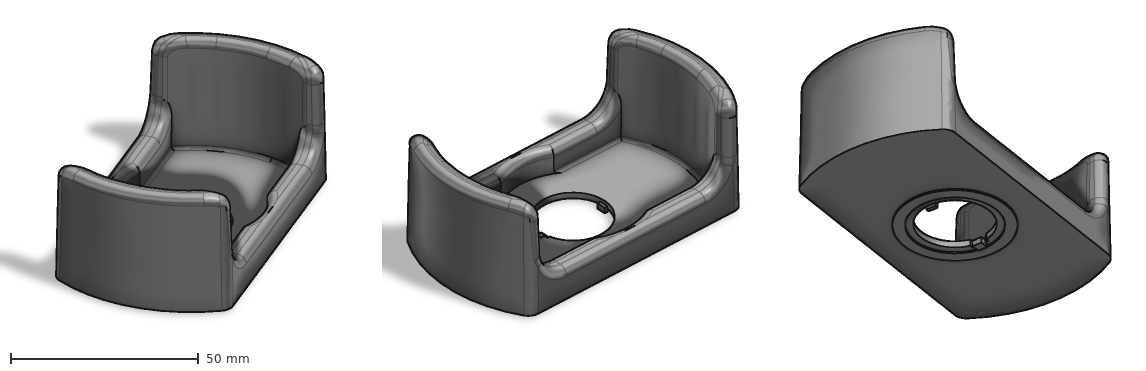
import cadquery as cq
import math

LENGTH = 89.9
WIDTH = 50.0
HEIGHT = 36.0
GASKET_THICKNESS = 0.495
LUG_DROP = 1.0
BODY_HEIGHT = HEIGHT - LUG_DROP
DRAFT = 1.0
SLOPE = math.tan(math.radians(DRAFT))
CORNER_RADIUS = 4.0

FLOOR = 2.0
RAIL_TOP = 10.0
CAVITY_WIDTH = 36.15
CAVITY_END_RADIUS = 38.1
FLOOR_FILLET = 1.0
RIM_FILLET = 2.5
WINDOW_HALF = 32.8
WINDOW_FOOT_RADIUS = 8.0
WINDOW_MOUTH_RADIUS = 4.9

RECESS_RADIUS = 20.4

HOLE_DIAMETER = 22.2
GASKET_OUTER = 33.4
GASKET_INNER = 26.6
NOTCH_WIDTH = 5.2
NOTCH_RADIUS = 11.9
LUG_WIDTH = 3.0
LUG_INNER = 10.1
LUG_TOP = 0.8
KEY_LUG_OUTER = 12.9
SMALL_LUG_OUTER = 11.15

MARGIN = 4.5
SELECT_GAP = 0.1


def block(x_range, y_range, z_range):
    """Axis-aligned box from three (low, high) pairs."""
    sizes = [high - low for low, high in (x_range, y_range, z_range)]
    corner = (x_range[0], y_range[0], z_range[0])
    return cq.Workplane("XY").box(*sizes, centered=False).translate(corner)


def cylinder(radius, low, high):
    return cq.Workplane("XY").workplane(offset=low).circle(radius).extrude(high - low)


def window(bottom):
    """Opening through both sides in X, with leaning walls and a rounded mouth at the rim."""
    lean = math.radians(DRAFT)
    half_bottom = WINDOW_HALF + (bottom - RAIL_TOP) * SLOPE
    half_top = WINDOW_HALF + (BODY_HEIGHT - RAIL_TOP) * SLOPE
    tangent = WINDOW_MOUTH_RADIUS * math.tan((math.pi / 2 - lean) / 2)
    mouth = half_top + tangent
    wall_y = half_top - tangent * math.sin(lean)
    wall_z = BODY_HEIGHT - tangent * math.cos(lean)
    middle_angle = (3 * math.pi / 2 - lean) / 2
    middle_y = mouth + WINDOW_MOUTH_RADIUS * math.cos(middle_angle)
    middle_z = BODY_HEIGHT - WINDOW_MOUTH_RADIUS + WINDOW_MOUTH_RADIUS * math.sin(middle_angle)
    return (
        cq.Workplane("YZ")
        .moveTo(-half_bottom, bottom)
        .lineTo(half_bottom, bottom)
        .lineTo(wall_y, wall_z)
        .threePointArc((middle_y, middle_z), (mouth, BODY_HEIGHT))
        .lineTo(mouth, BODY_HEIGHT + MARGIN)
        .lineTo(-mouth, BODY_HEIGHT + MARGIN)
        .lineTo(-mouth, BODY_HEIGHT)
        .threePointArc((-middle_y, middle_z), (-wall_y, wall_z))
        .close()
        .extrude(WIDTH, both=True)
    )


def side_window():
    """Window down to the rails, with rounded feet."""
    return window(RAIL_TOP).faces("<Z").edges("|X").fillet(WINDOW_FOOT_RADIUS)


def outer_body():
    """Drafted solid with the side window cut and the outer rim edges rounded."""
    half = WIDTH / 2
    end_radius = LENGTH / 2
    corner = math.sqrt(end_radius**2 - half**2)
    solid = (
        cq.Workplane("XY")
        .moveTo(half, -corner)
        .lineTo(half, corner)
        .threePointArc((0, end_radius), (-half, corner))
        .lineTo(-half, -corner)
        .threePointArc((0, -end_radius), (half, -corner))
        .close()
        .extrude(BODY_HEIGHT, taper=DRAFT)
    )
    upright = cq.selectors.BoxSelector(
        (-WIDTH, -LENGTH, MARGIN), (WIDTH, LENGTH, BODY_HEIGHT - MARGIN)
    )
    solid = solid.edges(upright).fillet(CORNER_RADIUS).cut(side_window())
    rim = [
        edge for edge in solid.edges("not |X").vals()
        if edge.BoundingBox().zmin > RAIL_TOP - SELECT_GAP
    ]
    return solid.newObject(rim).fillet(RIM_FILLET)


def end_cone():
    """Drafted round space whose wall forms both curved cavity ends."""
    depth = BODY_HEIGHT - FLOOR + MARGIN
    floor_plane = cq.Workplane("XY").workplane(offset=FLOOR)
    return floor_plane.circle(CAVITY_END_RADIUS).extrude(depth, taper=-DRAFT)


def side_wall():
    """+X wall with the window cut and its inner rim rounded."""
    wall = block((CAVITY_WIDTH / 2, WIDTH), (-LENGTH, LENGTH), (0, BODY_HEIGHT)).cut(side_window())
    rim = [
        edge for edge in wall.faces("<X").edges().vals()
        if edge.BoundingBox().zmin > RAIL_TOP - SELECT_GAP and abs(edge.Center().y) < LENGTH / 2
    ]
    return wall.newObject(rim).fillet(RIM_FILLET)


def end_wall():
    """+Y wall with a curved inner face and its inner rim rounded."""
    wall = block((-WIDTH, WIDTH), (0, LENGTH), (0, BODY_HEIGHT)).cut(window(FLOOR)).cut(end_cone())
    rim = [
        edge for edge in wall.edges("not %LINE").vals()
        if abs(edge.Center().x) < WIDTH / 2 and edge.Center().z > FLOOR + SELECT_GAP
    ]
    return wall.newObject(rim).fillet(RIM_FILLET)


def floor_plate():
    """Floor with a fillet running up to the cavity walls."""
    cavity = (
        block((-CAVITY_WIDTH / 2, CAVITY_WIDTH / 2), (-LENGTH, LENGTH), (FLOOR, BODY_HEIGHT))
        .intersect(end_cone())
        .faces("<Z").edges().fillet(FLOOR_FILLET)
    )
    return block((-WIDTH, WIDTH), (-LENGTH, LENGTH), (0, FLOOR + FLOOR_FILLET)).cut(cavity)


def recess():
    """Round space above the floor that scallops both side walls, flaring at the rail top."""
    flare_foot = RAIL_TOP - RIM_FILLET
    flare = RECESS_RADIUS + RIM_FILLET
    diagonal = RIM_FILLET * math.sqrt(0.5)
    return (
        cq.Workplane("XZ")
        .moveTo(0, FLOOR)
        .lineTo(RECESS_RADIUS, FLOOR)
        .lineTo(RECESS_RADIUS, flare_foot)
        .threePointArc((flare - diagonal, flare_foot + diagonal), (flare, RAIL_TOP))
        .lineTo(flare, RAIL_TOP + MARGIN)
        .lineTo(0, RAIL_TOP + MARGIN)
        .close()
        .revolve(360, (0, 0), (0, 1))
    )


def lug(y_range, z_range):
    """Rectangular lug centred on X."""
    return block((-LUG_WIDTH / 2, LUG_WIDTH / 2), y_range, z_range)


side = side_wall()
end = end_wall()
walls = side.union(side.mirror("YZ")).union(end).union(end.mirror("XZ"))
result = outer_body().intersect(walls.union(floor_plate())).cut(recess())

gasket = cylinder(GASKET_OUTER / 2, -GASKET_THICKNESS, 0)
gasket = gasket.cut(cylinder(GASKET_INNER / 2, -GASKET_THICKNESS, 0))
result = result.union(gasket)

hole = cylinder(HOLE_DIAMETER / 2, -MARGIN, FLOOR)
notch = cylinder(NOTCH_RADIUS, -MARGIN, FLOOR).intersect(
    block((-NOTCH_WIDTH / 2, NOTCH_WIDTH / 2), (0, LENGTH), (-MARGIN, FLOOR))
)
result = result.cut(hole).cut(notch)

key_lug = (LUG_INNER, KEY_LUG_OUTER)
small_lug = (-SMALL_LUG_OUTER, -LUG_INNER)
result = result.cut(lug(key_lug, (LUG_TOP, FLOOR)))
for y_range in (key_lug, small_lug):
    result = result.union(lug(y_range, (-LUG_DROP, LUG_TOP)))